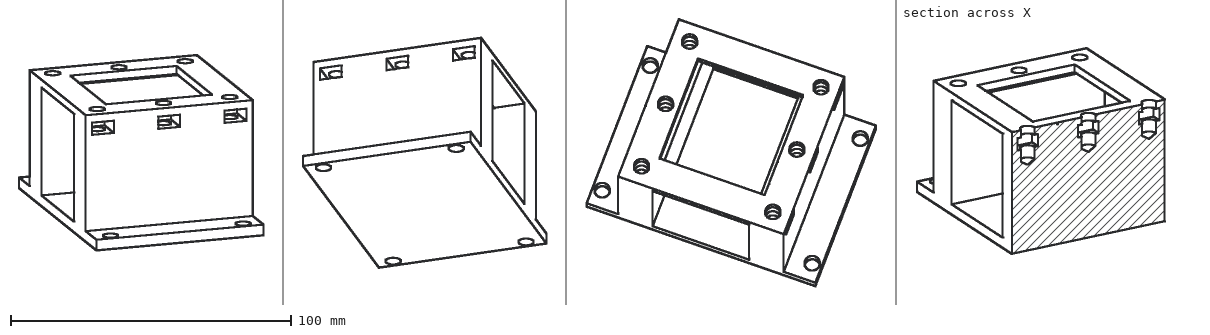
import cadquery as cq

base_length = 87.0
depth = 63.0
height = 47.0
base_thickness = 4.0
block_width = depth

passage_width = 36.7
roof_thickness = 3.0
window_size = 40.0

hole_diameter = 5.5
hole_pitch = 49.9
flange_hole_spacing = 79.9
screw_hole_depth = 12.2
drill_tip_height = 1.65

slot_width = 8.2
slot_height = 4.5
slot_length = 10.4


def make_body():
    base = cq.Workplane("XY").box(base_length, depth, base_thickness, centered=(True, True, False))
    block = cq.Workplane("XY").box(block_width, depth, height, centered=(True, True, False))
    return base.union(block)


def make_passage():
    passage_height = height - roof_thickness - base_thickness
    return (
        cq.Workplane("XY", origin=(0, 0, base_thickness))
        .box(passage_width, depth, passage_height, centered=(True, True, False))
    )


def make_window():
    return (
        cq.Workplane("XY", origin=(0, 0, height - roof_thickness))
        .box(window_size, window_size, roof_thickness, centered=(True, True, False))
    )


def make_flange_holes():
    return (
        cq.Workplane("XY")
        .rect(flange_hole_spacing, hole_pitch, forConstruction=True)
        .vertices()
        .circle(hole_diameter / 2)
        .extrude(base_thickness)
    )


def make_screw_hole(x, y):
    """Blind hole from the top face with a conical drill tip."""
    radius = hole_diameter / 2
    half_profile = (
        cq.Workplane("XZ")
        .moveTo(0, 0)
        .lineTo(radius, 0)
        .lineTo(radius, -screw_hole_depth)
        .lineTo(0, -screw_hole_depth - drill_tip_height)
        .close()
    )
    return half_profile.revolve(360, (0, 0, 0), (0, 1, 0)).translate((x, y, height))


def make_nut_slot(side, y):
    """Pocket reaching in from one side face, crossing the screw hole."""
    x = side * (block_width - slot_length) / 2
    z = height - roof_thickness - slot_height / 2
    return cq.Workplane("XY", origin=(x, y, z)).box(slot_length, slot_width, slot_height)


result = make_body().cut(make_passage()).cut(make_window()).cut(make_flange_holes())

for side in (-1, 1):
    for row in (-1, 0, 1):
        hole_y = row * hole_pitch / 2
        result = result.cut(make_screw_hole(side * hole_pitch / 2, hole_y))
        result = result.cut(make_nut_slot(side, hole_y))